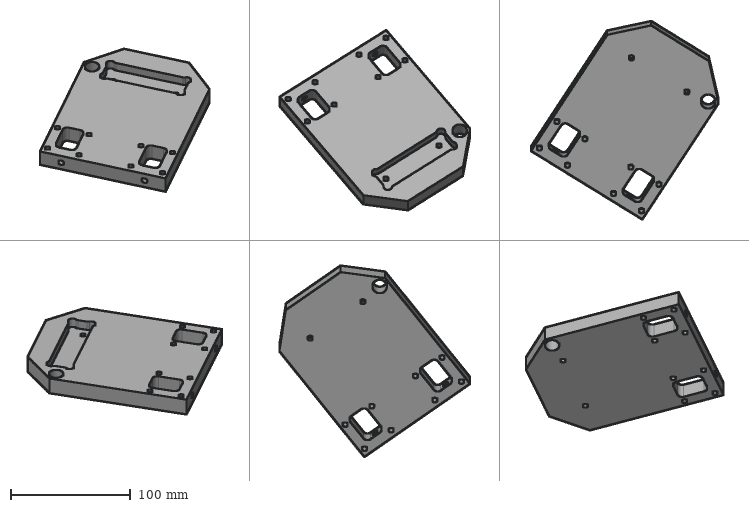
import cadquery as cq
import math

WIDTH = 110.0
LENGTH = 145.0
THICKNESS = 15.0
CORNER_CUT = 26.5

LARGE_HOLE_DIAMETER = 12.0
LARGE_HOLE_X = -46.8
LARGE_HOLE_Y = 115.1

POCKET_WIDTH = 71.3
POCKET_HEIGHT = 20.9
POCKET_DEPTH = 8.3
POCKET_Y = 115.3
LOBE_RADIUS = 3.6
LOBE_INSET = 2.3
BLEND_RADIUS = 3.3

SMALL_HOLE_DIAMETER = 4.2
POCKET_HOLE_SPACING = 54.8
POCKET_HOLE_Y = 112.5

WINDOW_X = 36.5
WINDOW_WIDTH = 18.0
WINDOW_LENGTH = 26.1
WINDOW_FRONT = 9.9
WINDOW_RADIUS = 4.0
WINDOW_HOLE_SPACING_X = 27.7
WINDOW_HOLE_SPACING_Y = 27.0
WINDOW_HOLE_FRONT = 6.0
EDGE_BORE_DIAMETER = 5.0


def make_plate():
    """Rectangular plate with its two rear corners cut at 45 degrees."""
    return (
        cq.Workplane("XY")
        .box(WIDTH, LENGTH, THICKNESS, centered=(True, False, False))
        .edges("|Z and >Y")
        .chamfer(CORNER_CUT)
    )


def through_holes(points, diameter):
    return cq.Workplane("XY").pushPoints(points).circle(diameter / 2).extrude(THICKNESS)


def lobe_points():
    """Points of one corner relief, in distances inward from the two pocket walls.

    They run from the wall along the second axis to the wall along the first:
    blend arc, lobe arc, blend arc, each as end points with a middle point.
    """
    centre_distance = LOBE_RADIUS + BLEND_RADIUS
    across = LOBE_INSET + BLEND_RADIUS
    along = math.sqrt(centre_distance**2 - across**2)
    tangent = LOBE_INSET + along
    half_angle = math.atan2(along, across) / 2
    blend_middle = (
        BLEND_RADIUS * (math.cos(half_angle) - 1),
        tangent - BLEND_RADIUS * math.sin(half_angle),
    )
    blend_end = (
        LOBE_INSET - LOBE_RADIUS * across / centre_distance,
        LOBE_INSET + LOBE_RADIUS * along / centre_distance,
    )
    lobe_middle = LOBE_INSET - LOBE_RADIUS / math.sqrt(2)
    first_half = [(0, tangent), blend_middle, blend_end]
    second_half = [(b, a) for a, b in reversed(first_half)]
    return first_half + [(lobe_middle, lobe_middle)] + second_half


def make_pocket():
    """Pocket outline, walked corner by corner around its centre."""
    outline = cq.Workplane("XY", origin=(0, POCKET_Y, THICKNESS - POCKET_DEPTH))
    started = False
    for side_x, side_y in [(-1, 1), (1, 1), (1, -1), (-1, -1)]:
        points = [
            (side_x * (POCKET_WIDTH / 2 - inset_x), side_y * (POCKET_HEIGHT / 2 - inset_y))
            for inset_x, inset_y in lobe_points()
        ]
        if side_x == side_y:
            points.reverse()
        if started:
            outline = outline.lineTo(*points[0])
        else:
            outline = outline.moveTo(*points[0])
            started = True
        for middle, end in zip(points[1::2], points[2::2]):
            outline = outline.threePointArc(middle, end)
    return outline.close().extrude(POCKET_DEPTH)


def make_window_group(x):
    """Window, its four surrounding holes and the bore from the front edge into it."""
    window = (
        cq.Workplane("XY")
        .center(x, WINDOW_FRONT + WINDOW_LENGTH / 2)
        .rect(WINDOW_WIDTH, WINDOW_LENGTH)
        .extrude(THICKNESS)
        .edges("|Z")
        .fillet(WINDOW_RADIUS)
    )
    hole_points = [
        (x + side * WINDOW_HOLE_SPACING_X / 2, y)
        for side in (-1, 1)
        for y in (WINDOW_HOLE_FRONT, WINDOW_HOLE_FRONT + WINDOW_HOLE_SPACING_Y)
    ]
    bore_depth = WINDOW_FRONT + WINDOW_LENGTH / 2
    bore = (
        cq.Workplane("XZ")
        .center(x, THICKNESS / 2)
        .circle(EDGE_BORE_DIAMETER / 2)
        .extrude(-bore_depth)
    )
    return window.union(through_holes(hole_points, SMALL_HOLE_DIAMETER)).union(bore)


pocket_hole_points = [(side * POCKET_HOLE_SPACING / 2, POCKET_HOLE_Y) for side in (-1, 1)]

result = (
    make_plate()
    .cut(through_holes([(LARGE_HOLE_X, LARGE_HOLE_Y)], LARGE_HOLE_DIAMETER))
    .cut(make_pocket())
    .cut(through_holes(pocket_hole_points, SMALL_HOLE_DIAMETER))
)
for window_x in (-WINDOW_X, WINDOW_X):
    result = result.cut(make_window_group(window_x))